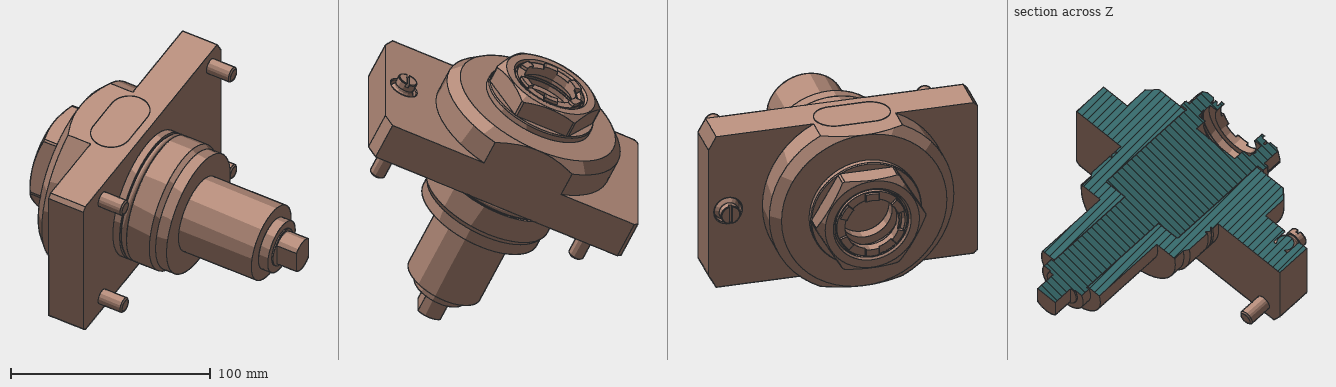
import cadquery as cq
import math


flange_thickness = 20.0
flange_height = 86.0
flange_long_side = 76.0
flange_short_side = 64.0
long_side_chamfer_y = 4.0
long_side_chamfer_z = 7.2
short_side_chamfer = 2.1

boss_diameter = 96.0
boss_front_x = -38.0
boss_chamfer = 5.0

pilot_diameter = 68.0
pilot_chamfer_start_x = 21.0
pilot_chamfer_end_x = 23.7
pilot_step_diameter = 64.7
pilot_rear_x = 30.0
shank_diameter = 40.5
shank_rear_x = 72.0
seal_groove_diameter = 65.6
seal_groove_start_x = 3.9
seal_groove_width = 3.9
seal_clearance = 0.35

pin_diameter = 8.0
pin_length = 13.4
pin_chamfer = 0.8
pin_y_positions = (65.0, -45.0)
pin_z = 34.0

nozzle_y = 65.8
nozzle_ball_diameter = 13.7
nozzle_socket_diameter = 14.0
nozzle_socket_chamfer = 0.5
nozzle_head_diameter = 10.0
nozzle_neck_diameter = 9.1
nozzle_neck_front_diameter = 7.8
nozzle_head_chamfer = 0.4
nozzle_neck_length = 1.2
nozzle_height = 5.2
nozzle_slot_width = 1.6
nozzle_slot_depth = 1.8

plate_width = 20.5
plate_length = 39.3
plate_depth = 0.2
plate_center_x = -15.0

journal_diameter = 50.0
journal_rear_x = 20.0
tail_neck_diameter = 25.0
tail_collar_diameter = 28.0
tail_collar_start_x = 72.5
tail_collar_end_x = 77.9
tail_shoulder_diameter = 20.0
tail_shoulder_end_x = 78.7
tang_diameter = 17.6
tang_width = 12.3
tang_end_x = 90.0
bore_diameter = 28.0
bore_floor_x = -34.0

nut_across_flats = 50.0
nut_corner_diameter = 57.0
nut_front_x = -53.2
nut_front_diameter = 49.0
nut_chamfer_length = 2.4
nut_collar_diameter = 57.7
nut_collar_front_x = -42.2
nut_collar_rear_x = -38.6
nut_collar_chamfer = 0.8
nut_hole_diameter = 38.38
nut_hole_mouth_diameter = 40.5
nut_chamber_rear_x = -40.2
chamber_groove_x = -44.2
chamber_groove_width = 1.2
chamber_groove_depth = 0.5

ring_diameter = 36.5
ring_seat_x = -52.5
ring_rear_x = -48.5
ring_gap_floor_x = -50.5
tooth_tip_x = -54.1
tooth_outer_diameter = 35.4
end_tooth_width = 7.2
end_tooth_chamfer = 0.4
side_tooth_start_angle = 19.3
side_tooth_end_angle = 45.0
key_groove_inner_radius = 14.7
key_groove_outer_radius = 17.2
key_groove_depth = 1.6


def turned(points):
    """Revolve a closed (x, radius) outline about the X axis."""
    return cq.Workplane("XY").polyline(points).close().revolve(360, (0, 0, 0), (1, 0, 0))


def cylinder(diameter, start_x, end_x, y=0.0, z=0.0):
    """Cylinder along X between two X positions."""
    return (
        cq.Workplane("YZ", origin=(start_x, y, z))
        .circle(diameter / 2)
        .extrude(end_x - start_x)
    )


def box(start, end):
    """Axis-aligned box between two opposite corners."""
    size = [b - a for a, b in zip(start, end)]
    return cq.Workplane("XY").box(*size, centered=False).translate(start)


def make_flange():
    half_height = flange_height / 2
    upper_half = [
        (flange_long_side, half_height - long_side_chamfer_z),
        (flange_long_side - long_side_chamfer_y, half_height),
        (-flange_short_side + short_side_chamfer, half_height),
        (-flange_short_side, half_height - short_side_chamfer),
    ]
    lower_half = [(y, -z) for y, z in reversed(upper_half)]
    return (
        cq.Workplane("YZ", origin=(-flange_thickness, 0, 0))
        .polyline(upper_half + lower_half)
        .close()
        .extrude(flange_thickness)
    )


def make_boss():
    boss = cylinder(boss_diameter, boss_front_x, 0).faces("<X").chamfer(boss_chamfer)
    reach = boss_diameter / 2
    trim = box((boss_front_x, -reach, -flange_height / 2), (0, reach, flange_height / 2))
    return boss.intersect(trim)


def make_pilot_and_shank():
    """Rear pilot with a rounded seal in its groove, followed by the shank."""
    pilot_radius = pilot_diameter / 2
    groove_radius = seal_groove_diameter / 2
    groove_end_x = seal_groove_start_x + seal_groove_width
    return (
        cq.Workplane("XY")
        .moveTo(-flange_thickness, 0)
        .lineTo(-flange_thickness, pilot_radius)
        .lineTo(seal_groove_start_x, pilot_radius)
        .lineTo(seal_groove_start_x, groove_radius)
        .lineTo(seal_groove_start_x + seal_clearance, groove_radius)
        .threePointArc(
            (seal_groove_start_x + seal_groove_width / 2, pilot_radius),
            (groove_end_x - seal_clearance, groove_radius),
        )
        .lineTo(groove_end_x, groove_radius)
        .lineTo(groove_end_x, pilot_radius)
        .lineTo(pilot_chamfer_start_x, pilot_radius)
        .lineTo(pilot_chamfer_end_x, pilot_step_diameter / 2)
        .lineTo(pilot_rear_x, pilot_step_diameter / 2)
        .lineTo(pilot_rear_x, shank_diameter / 2)
        .lineTo(shank_rear_x, shank_diameter / 2)
        .lineTo(shank_rear_x, 0)
        .close()
        .revolve(360, (0, 0, 0), (1, 0, 0))
    )


def add_pins(body):
    for y in pin_y_positions:
        for z in (pin_z, -pin_z):
            pin = cylinder(pin_diameter, -flange_thickness / 2, pin_length, y, z)
            body = body.union(pin.faces(">X").chamfer(pin_chamfer))
    return body


def add_nozzle(body):
    """Slotted ball nozzle seated in the floor of its socket."""
    face_x = -flange_thickness
    ball_radius = nozzle_ball_diameter / 2
    ball_depth = math.sqrt(ball_radius**2 - (nozzle_neck_diameter / 2) ** 2)
    ball_center_x = face_x + ball_depth
    head_front_x = face_x - nozzle_height
    neck_front_x = face_x - nozzle_neck_length
    slot_floor_x = head_front_x + nozzle_slot_depth

    socket_radius = nozzle_socket_diameter / 2
    socket_floor_x = ball_center_x + ball_radius / 2
    socket = turned([
        (face_x, 0),
        (face_x, socket_radius + nozzle_socket_chamfer),
        (face_x + nozzle_socket_chamfer, socket_radius),
        (socket_floor_x, socket_radius),
        (socket_floor_x, 0),
    ]).translate((0, nozzle_y, 0))

    ball = cq.Workplane("XY").sphere(ball_radius).translate((ball_center_x, nozzle_y, 0))
    neck = turned([
        (neck_front_x, 0),
        (neck_front_x, nozzle_neck_front_diameter / 2),
        (face_x, nozzle_neck_diameter / 2),
        (face_x, 0),
    ]).translate((0, nozzle_y, 0))
    head = cylinder(nozzle_head_diameter, head_front_x, neck_front_x, nozzle_y)
    head = head.faces("<X").chamfer(nozzle_head_chamfer)
    slot = box(
        (head_front_x, nozzle_y - nozzle_slot_width / 2, -nozzle_head_diameter),
        (slot_floor_x, nozzle_y + nozzle_slot_width / 2, nozzle_head_diameter),
    )
    return body.cut(socket).union(ball).union(neck).union(head.cut(slot))


def cut_plate_recess(body):
    recess = (
        cq.Workplane("XY", origin=(plate_center_x, 0, flange_height / 2))
        .slot2D(plate_length, plate_width, 90)
        .extrude(-plate_depth)
    )
    return body.cut(recess)


def make_housing():
    body = make_flange().union(make_boss()).union(make_pilot_and_shank())
    body = body.cut(cylinder(journal_diameter, boss_front_x, journal_rear_x))
    body = body.cut(cylinder(tail_neck_diameter, journal_rear_x, shank_rear_x))
    body = add_pins(body)
    body = add_nozzle(body)
    return cut_plate_recess(body)


def make_shaft():
    outline = [
        (nut_collar_front_x, 0),
        (nut_collar_front_x, journal_diameter / 2),
        (journal_rear_x, journal_diameter / 2),
        (journal_rear_x, tail_neck_diameter / 2),
        (tail_collar_start_x, tail_neck_diameter / 2),
        (tail_collar_start_x, tail_collar_diameter / 2),
        (tail_collar_end_x, tail_collar_diameter / 2),
        (tail_collar_end_x, tail_shoulder_diameter / 2),
        (tail_shoulder_end_x, tail_shoulder_diameter / 2),
        (tail_shoulder_end_x, 0),
    ]
    half_tang = tang_diameter / 2
    flats = box(
        (tail_shoulder_end_x, -tang_width / 2, -half_tang),
        (tang_end_x, tang_width / 2, half_tang),
    )
    tang = cylinder(tang_diameter, tail_shoulder_end_x, tang_end_x).intersect(flats)
    return turned(outline).union(tang)


def make_nut():
    """Hexagonal nut with a turned front chamfer and a round collar behind."""
    hexagon = (
        cq.Workplane("YZ", origin=(nut_front_x, 0, 0))
        .polygon(6, nut_across_flats / math.cos(math.pi / 6))
        .extrude(nut_collar_front_x - nut_front_x)
    )
    turned_limit = turned([
        (nut_front_x, 0),
        (nut_front_x, nut_front_diameter / 2),
        (nut_front_x + nut_chamfer_length, nut_corner_diameter / 2),
        (nut_collar_front_x, nut_corner_diameter / 2),
        (nut_collar_front_x, 0),
    ])
    collar = cylinder(nut_collar_diameter, nut_collar_front_x, nut_collar_rear_x)
    collar = collar.faces("<X").chamfer(nut_collar_chamfer, nut_collar_chamfer / 2)
    return hexagon.intersect(turned_limit).union(collar)


def make_spindle_cavity():
    """Nut mouth, chamber behind the toothed ring, and the plain bore."""
    groove_radius = ring_diameter / 2 + chamber_groove_depth
    mouth_depth = (nut_hole_mouth_diameter - nut_hole_diameter) / 2
    return turned([
        (nut_front_x, 0),
        (nut_front_x, nut_hole_mouth_diameter / 2),
        (nut_front_x + mouth_depth, nut_hole_diameter / 2),
        (ring_gap_floor_x, nut_hole_diameter / 2),
        (ring_gap_floor_x, ring_diameter / 2),
        (ring_seat_x, ring_diameter / 2),
        (ring_seat_x, bore_diameter / 2),
        (ring_rear_x, bore_diameter / 2),
        (ring_rear_x, ring_diameter / 2),
        (chamber_groove_x, ring_diameter / 2),
        (chamber_groove_x, groove_radius),
        (chamber_groove_x + chamber_groove_width, groove_radius),
        (chamber_groove_x + chamber_groove_width, ring_diameter / 2),
        (nut_chamber_rear_x, ring_diameter / 2),
        (nut_chamber_rear_x, bore_diameter / 2),
        (bore_floor_x, bore_diameter / 2),
        (bore_floor_x, 0),
    ])


def sector(start_angle, end_angle, start_x, end_x):
    """Wedge about the X axis; angles run from +Y toward +Z and span under 180 degrees."""
    reach = nut_collar_diameter
    corners = [
        (reach * math.cos(math.radians(angle)), reach * math.sin(math.radians(angle)))
        for angle in (start_angle, end_angle)
    ]
    return (
        cq.Workplane("YZ", origin=(start_x, 0, 0))
        .polyline([(0, 0)] + corners)
        .close()
        .extrude(end_x - start_x)
    )


def make_teeth():
    """Two end teeth at top and bottom, and four side teeth next to the Y axis."""
    reach = tooth_outer_diameter / 2
    ring = cylinder(tooth_outer_diameter, tooth_tip_x, ring_seat_x)
    ring = ring.cut(cylinder(bore_diameter, tooth_tip_x, ring_seat_x))
    end_teeth = box(
        (tooth_tip_x, -end_tooth_width / 2, -reach),
        (ring_seat_x, end_tooth_width / 2, reach),
    )
    end_teeth = end_teeth.faces("<X").edges("|Z").chamfer(end_tooth_chamfer)
    teeth = ring.intersect(end_teeth)
    for y_side in (0, 180):
        for turn in (1, -1):
            start_angle = y_side + turn * side_tooth_start_angle
            end_angle = y_side + turn * side_tooth_end_angle
            tooth_sector = sector(start_angle, end_angle, tooth_tip_x, ring_seat_x)
            teeth = teeth.union(ring.intersect(tooth_sector))
    return teeth


def make_key_groove():
    """V-shaped groove in the ring seat, between the two side teeth toward -Y."""
    groove_bottom_x = ring_seat_x + key_groove_depth
    groove = turned([
        (ring_seat_x, key_groove_inner_radius),
        (groove_bottom_x, (key_groove_inner_radius + key_groove_outer_radius) / 2),
        (ring_seat_x, key_groove_outer_radius),
    ])
    return groove.intersect(
        sector(
            180 - side_tooth_start_angle,
            180 + side_tooth_start_angle,
            ring_seat_x,
            groove_bottom_x,
        )
    )


def make_spindle():
    body = make_shaft().union(make_nut()).cut(make_spindle_cavity())
    return body.union(make_teeth()).cut(make_key_groove())


housing = make_housing()
spindle = make_spindle()

result = cq.Compound.makeCompound([housing.val(), spindle.val()])